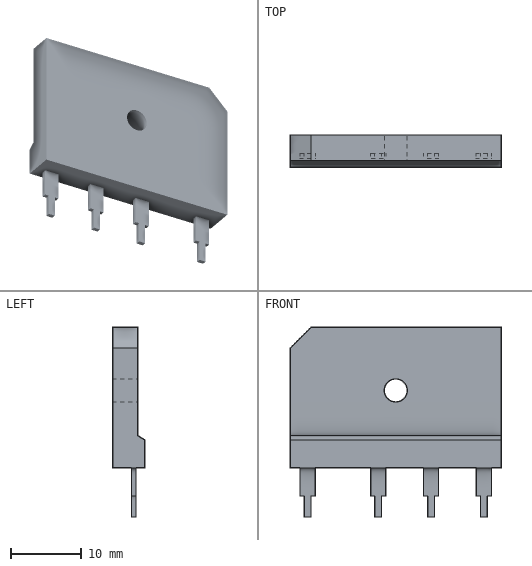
import cadquery as cq

BODY_WIDTH = 30.0
BODY_HEIGHT = 20.0
BODY_THICKNESS = 3.6
CORNER_CHAMFER = 3.0

BAND_THICKNESS = 4.6
BAND_HEIGHT = 4.0
BAND_SLOPE_HEIGHT = 0.6

HOLE_DIAMETER = 3.25
HOLE_FROM_TOP = 9.0

LEAD_POSITIONS = (-12.5, -2.5, 5.0, 12.5)
LEAD_THICKNESS = 0.7
LEAD_FROM_BACK = 3.0
SHOULDER_WIDTH = 2.2
SHOULDER_LENGTH = 4.0
TIP_WIDTH = 1.0
TIP_LENGTH = 3.0


def make_body():
    """Extrude the side profile across the width, then cut the corner and the hole."""
    side_profile = [
        (0, 0),
        (-BAND_THICKNESS, 0),
        (-BAND_THICKNESS, BAND_HEIGHT),
        (-BODY_THICKNESS, BAND_HEIGHT + BAND_SLOPE_HEIGHT),
        (-BODY_THICKNESS, BODY_HEIGHT),
        (0, BODY_HEIGHT),
    ]
    body = cq.Workplane("YZ").polyline(side_profile).close().extrude(BODY_WIDTH / 2, both=True)
    body = body.edges("|Y and >Z and <X").chamfer(CORNER_CHAMFER)
    hole = (
        cq.Workplane("XZ")
        .center(0, BODY_HEIGHT - HOLE_FROM_TOP)
        .circle(HOLE_DIAMETER / 2)
        .extrude(BODY_THICKNESS)
    )
    return body.cut(hole)


def make_lead(x):
    """Build one lead: a wide shoulder under the body and a narrow tip below it."""
    shoulder = (
        cq.Workplane("XY")
        .center(x, -LEAD_FROM_BACK)
        .rect(SHOULDER_WIDTH, LEAD_THICKNESS)
        .extrude(-SHOULDER_LENGTH)
    )
    return shoulder.faces("<Z").workplane().rect(TIP_WIDTH, LEAD_THICKNESS).extrude(TIP_LENGTH)


result = make_body()
for lead_x in LEAD_POSITIONS:
    result = result.union(make_lead(lead_x))